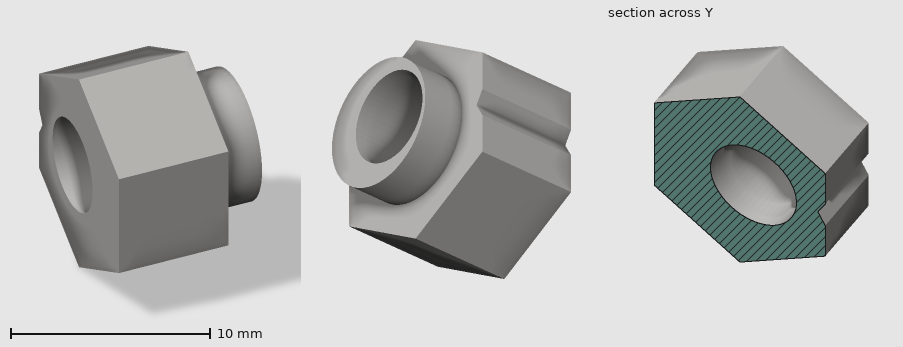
import cadquery as cq
import math

hex_sides = 6
across_flats = 10.0
hex_length = 6.0
boss_diameter = 7.0
boss_length = 2.5
bore_diameter = 5.0
bore_offset = 0.79
notch_width = 1.5
notch_wall_angle = 30.0

hex_half_sector = 180.0 / hex_sides
across_corners = across_flats / math.cos(math.radians(hex_half_sector))
total_length = hex_length + boss_length
notch_depth = notch_width / 2 * math.tan(math.radians(notch_wall_angle))


def section_plane(y):
    """Sketch plane at the given Y, with local x along X, local y along Z and normal along -Y."""
    return cq.Workplane("XZ", origin=(0, y, 0))


def hex_body():
    """Hexagonal prism with corners on +Z and -Z and flats facing +X and -X."""
    prism = section_plane(0).polygon(hex_sides, across_corners).extrude(-hex_length)
    return prism.rotate((0, 0, 0), (0, 1, 0), hex_half_sector)


def boss():
    """Round locating boss, concentric with the hexagon."""
    return section_plane(hex_length).circle(boss_diameter / 2).extrude(-boss_length)


def bore():
    """Eccentric through bore."""
    return section_plane(0).center(-bore_offset, 0).circle(bore_diameter / 2).extrude(-total_length)


def orientation_notch():
    """V-notch along the -X flat, marking the side the bore is shifted to."""
    flat_x = -across_flats / 2
    profile = [
        (flat_x, notch_width / 2),
        (flat_x + notch_depth, 0),
        (flat_x, -notch_width / 2),
    ]
    return section_plane(0).polyline(profile).close().extrude(-hex_length)


result = hex_body().union(boss()).cut(bore()).cut(orientation_notch())